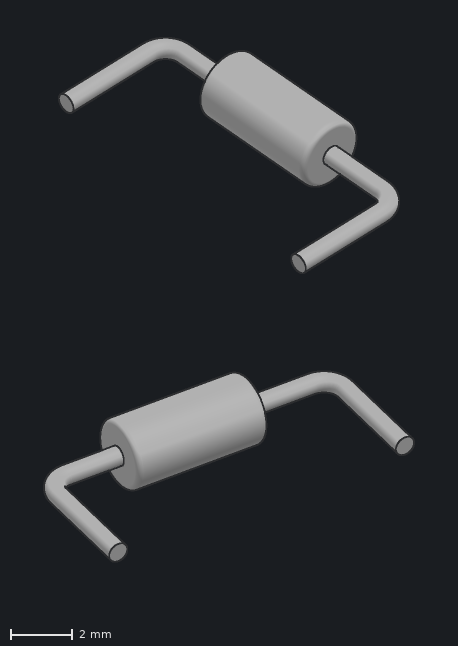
import cadquery as cq

OVERALL_WIDTH = 11.7
OVERALL_DEPTH = 5.75
HOUSING_DIAMETER = 2.5
HOUSING_LENGTH = 5.0
HOUSING_OFFSET = -0.2
HOUSING_EDGE_RADIUS = 0.2
WIRE_DIAMETER = 0.7
BEND_RADIUS = 0.81

leg_x = (OVERALL_WIDTH - WIRE_DIAMETER) / 2
leg_end_y = HOUSING_DIAMETER / 2 - OVERALL_DEPTH
bend_start_x = leg_x - BEND_RADIUS


def make_housing():
    """Cylinder with rounded rims and a through bore for the lead."""
    left_end = cq.Workplane("YZ").workplane(offset=HOUSING_OFFSET - HOUSING_LENGTH / 2)
    cylinder = left_end.circle(HOUSING_DIAMETER / 2).extrude(HOUSING_LENGTH)
    rounded = cylinder.edges("%CIRCLE").fillet(HOUSING_EDGE_RADIUS)
    bore = left_end.circle(WIRE_DIAMETER / 2).extrude(HOUSING_LENGTH)
    return rounded.cut(bore)


def make_lead():
    """One round wire through the housing, bent at both ends toward -Y."""
    centreline = (
        cq.Workplane("XY")
        .moveTo(-leg_x, leg_end_y)
        .lineTo(-leg_x, -BEND_RADIUS)
        .tangentArcPoint((-bend_start_x, 0), relative=False)
        .lineTo(bend_start_x, 0)
        .tangentArcPoint((leg_x, -BEND_RADIUS), relative=False)
        .lineTo(leg_x, leg_end_y)
    )
    leg_end = cq.Workplane("XZ", origin=(-leg_x, leg_end_y, 0))
    return leg_end.circle(WIRE_DIAMETER / 2).sweep(centreline)


housing = make_housing()
lead = make_lead()

result = cq.Compound.makeCompound([housing.solids().val(), lead.val()])